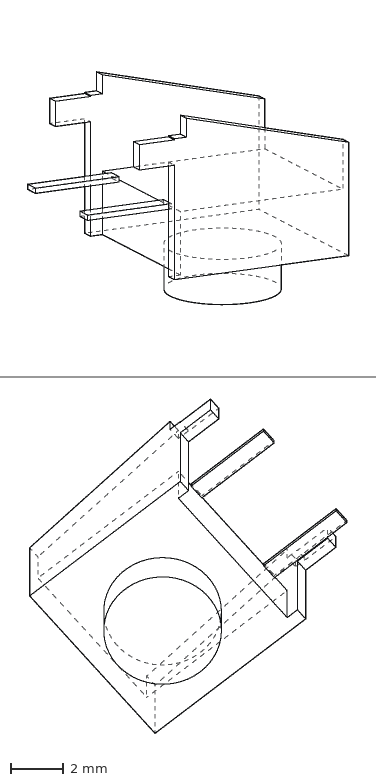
import cadquery as cq

width = 7.5
wall_thickness = 0.5
block_depth = 7.0
block_height = 2.52

wall_depth = 7.5
wall_back_height = 4.5
wall_peak_height = 6.35
shoulder_height = 5.6

lug_tip = 9.01
lug_top = 5.55
lug_bottom = 4.55

pin_tip = 10.6
pin_width = 0.65
pin_thickness = 0.21
pin_spacing = 4.35
pin_bottom = 2.44

button_diameter = 4.5
button_height = 1.8
button_setback = 3.5


def make_block():
    """Plain body spanning the full width between the walls."""
    return cq.Workplane("XY").box(width, block_depth, block_height, centered=(True, False, False)).translate(
        (0, -block_depth, 0)
    )


def make_wall(outer_x):
    """Sloped side plate with its lug, extruded towards +X from outer_x."""
    outline = [
        (0, 0),
        (0, wall_back_height),
        (-block_depth, wall_peak_height),
        (-block_depth, shoulder_height),
        (-wall_depth, shoulder_height),
        (-wall_depth, lug_top),
        (-lug_tip, lug_top),
        (-lug_tip, lug_bottom),
        (-wall_depth, lug_bottom),
        (-wall_depth, 0),
    ]
    return cq.Workplane("YZ", origin=(outer_x, 0, 0)).polyline(outline).close().extrude(wall_thickness)


def make_pin(center_x):
    """Flat terminal starting at the front face of the block."""
    length = pin_tip - block_depth
    return cq.Workplane("XY").box(pin_width, length, pin_thickness, centered=(True, False, False)).translate(
        (center_x, -pin_tip, pin_bottom)
    )


def make_button():
    return (
        cq.Workplane("XY", origin=(0, -button_setback, 0))
        .circle(button_diameter / 2)
        .extrude(-button_height)
    )


result = make_block().union(make_button())
for wall_x in (-width / 2, width / 2 - wall_thickness):
    result = result.union(make_wall(wall_x))
for pin_x in (-pin_spacing / 2, pin_spacing / 2):
    result = result.union(make_pin(pin_x))